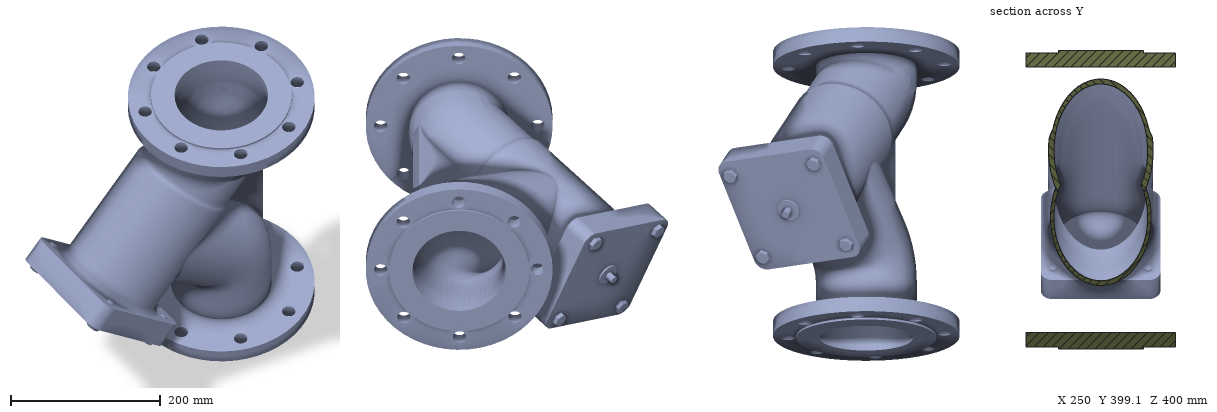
import cadquery as cq
import math

HEIGHT = 400.0

FLANGE_DIAMETER = 250.0
FLANGE_THICKNESS = 20.0
RAISED_FACE_DIAMETER = 188.0
RAISED_FACE_HEIGHT = 3.0
FLANGE_HOLE_COUNT = 8
FLANGE_HOLE_DIAMETER = 18.0
FLANGE_HOLE_CIRCLE = 210.0

PIPE_DIAMETER = 135.0
BORE_DIAMETER = 125.0
UPPER_NECK_LENGTH = 19.5
UPPER_BEND_RADIUS = 40.0
UPPER_BEND_ANGLE = 45.0
UPPER_TAIL_LENGTH = 20.0
LOWER_NECK_LENGTH = 54.5
LOWER_BEND_RADIUS = 70.5
LOWER_BEND_ANGLE = 47.6

BARREL_DIAMETER = 141.0
SHOULDER_START = 68.0
SHOULDER_LENGTH = 11.0
SEAT_FILLET = 9.0
SEAT_START = 250.0

SEAT_THICKNESS = 18.0
COVER_THICKNESS = 18.0
COVER_WIDTH = 160.0
COVER_LENGTH = 170.0
COVER_CORNER_RADIUS = 16.0
BOSS_DIAMETER = 30.0
BOSS_HEIGHT = 2.5
STEM_DIAMETER = 10.0
STEM_LENGTH = 14.0

BOLT_COUNT = 4
BOLT_CIRCLE = 180.0
BOLT_DIAMETER = 10.0
BOLT_TIP_LENGTH = 2.0
HEAD_SIDES = 6
HEAD_ACROSS_FLATS = 17.0
HEAD_HEIGHT = 6.5
HEAD_FACE_DIAMETER = 16.0
HEAD_CHAMFER_ANGLE = 30.0

WEB_THICKNESS = 20.0

PIPE_RADIUS = PIPE_DIAMETER / 2
BORE_RADIUS = BORE_DIAMETER / 2
BARREL_RADIUS = BARREL_DIAMETER / 2
WEB_BACK_Y = BORE_RADIUS
FLANGE_DEPTH = FLANGE_THICKNESS + RAISED_FACE_HEIGHT
UPPER_BEND_Z = HEIGHT / 2 - FLANGE_DEPTH - UPPER_NECK_LENGTH
LOWER_BEND_Z = -HEIGHT / 2 + FLANGE_DEPTH + LOWER_NECK_LENGTH
COVER_START = SEAT_START + SEAT_THICKNESS
COVER_END = COVER_START + COVER_THICKNESS
SHANK_START = SEAT_START - BOLT_TIP_LENGTH


def bend_end_plane(bend_radius, bend_z, angle, direction):
    """Plane across the far end of a bend that turns from the Z axis towards -Y.

    The normal points onwards along the pipe; direction is +1 for a pipe that
    enters the bend going up and -1 for one going down.
    """
    turn = math.radians(angle)
    origin = (
        0,
        -bend_radius * (1 - math.cos(turn)),
        bend_z + direction * bend_radius * math.sin(turn),
    )
    normal = (0, -math.sin(turn), direction * math.cos(turn))
    return cq.Plane(origin=origin, xDir=(1, 0, 0), normal=normal)


BRANCH_PLANE = bend_end_plane(UPPER_BEND_RADIUS, UPPER_BEND_Z, UPPER_BEND_ANGLE, -1)
INLET_PLANE = bend_end_plane(LOWER_BEND_RADIUS, LOWER_BEND_Z, LOWER_BEND_ANGLE, 1)


def inlet_length():
    """Length of the inlet from the lower bend to the axis of the branch."""
    gap = BRANCH_PLANE.origin - INLET_PLANE.origin
    across = INLET_PLANE.zDir.cross(BRANCH_PLANE.zDir).x
    return gap.cross(BRANCH_PLANE.zDir).x / across


INLET_LENGTH = inlet_length()
AXES_MEET = INLET_PLANE.origin + INLET_PLANE.zDir * INLET_LENGTH


def on_branch(distance):
    """Workplane across the branch axis, at a distance from the end of the upper bend."""
    return cq.Workplane(BRANCH_PLANE).workplane(offset=distance)


def branch_rod(radius, start, end):
    return on_branch(start).circle(radius).extrude(end - start)


def vertical_rod(radius, bottom, top):
    return cq.Workplane("XY", origin=(0, 0, bottom)).circle(radius).extrude(top - bottom)


def upper_bend(radius):
    """Solid bend tighter than its own radius, so its round section stops at the turning axis."""
    half_chord = math.sqrt(radius**2 - UPPER_BEND_RADIUS**2)
    flank_y = -UPPER_BEND_RADIUS / 2
    flank_x = math.sqrt(radius**2 - flank_y**2)
    return (
        cq.Workplane("XY", origin=(0, 0, UPPER_BEND_Z))
        .moveTo(-half_chord, -UPPER_BEND_RADIUS)
        .threePointArc((-flank_x, flank_y), (-radius, 0))
        .threePointArc((0, radius), (radius, 0))
        .threePointArc((flank_x, flank_y), (half_chord, -UPPER_BEND_RADIUS))
        .close()
        .revolve(UPPER_BEND_ANGLE, (0, -UPPER_BEND_RADIUS, 0), (-1, -UPPER_BEND_RADIUS, 0))
    )


def upper_run(radius):
    """Solid rod down the upper neck, round the upper bend and along its tail."""
    neck = vertical_rod(radius, UPPER_BEND_Z, HEIGHT / 2)
    return neck.union(upper_bend(radius)).union(branch_rod(radius, 0, UPPER_TAIL_LENGTH))


def lower_run(radius):
    """Solid rod up the lower neck, round the lower bend and on to the axis of the branch."""
    neck = vertical_rod(radius, -HEIGHT / 2, LOWER_BEND_Z)
    bend = (
        cq.Workplane("XY", origin=(0, 0, LOWER_BEND_Z))
        .circle(radius)
        .revolve(LOWER_BEND_ANGLE, (0, -LOWER_BEND_RADIUS, 0), (1, -LOWER_BEND_RADIUS, 0))
    )
    inlet = cq.Workplane(INLET_PLANE).circle(radius).extrude(INLET_LENGTH)
    return neck.union(bend).union(inlet)


def pipe_flange(direction):
    """Flange with a raised face at the top (+1) or bottom (-1) end of the pipe."""
    back = cq.Workplane("XY", origin=(0, 0, direction * (HEIGHT / 2 - FLANGE_DEPTH)))
    disc = back.circle(FLANGE_DIAMETER / 2).extrude(direction * FLANGE_THICKNESS)
    raised_face = back.circle(RAISED_FACE_DIAMETER / 2).extrude(direction * FLANGE_DEPTH)
    half_pitch = 180 / FLANGE_HOLE_COUNT
    holes = (
        back.polarArray(FLANGE_HOLE_CIRCLE / 2, half_pitch, 360, FLANGE_HOLE_COUNT)
        .circle(FLANGE_HOLE_DIAMETER / 2)
        .extrude(direction * FLANGE_DEPTH)
    )
    return disc.union(raised_face).cut(holes)


def square_plate(start, thickness):
    """Round-cornered plate across the branch axis."""
    return (
        on_branch(start)
        .rect(COVER_WIDTH, COVER_LENGTH)
        .extrude(thickness)
        .edges(cq.selectors.ParallelDirSelector(BRANCH_PLANE.zDir))
        .fillet(COVER_CORNER_RADIUS)
    )


def barrel_envelope():
    """Barrel without its bore: pipe, S-shaped shoulder, wider cylinder, flared foot, seat."""
    shoulder_middle = ((PIPE_RADIUS + BARREL_RADIUS) / 2, SHOULDER_START + SHOULDER_LENGTH / 2)
    flare_start = SEAT_START - SEAT_FILLET
    flare_middle = SEAT_FILLET * (1 - math.sqrt(0.5))
    profile_plane = cq.Plane(BRANCH_PLANE.origin, xDir=(1, 0, 0), normal=BRANCH_PLANE.yDir * -1)
    turned = (
        cq.Workplane(profile_plane)
        .moveTo(0, UPPER_TAIL_LENGTH)
        .lineTo(PIPE_RADIUS, UPPER_TAIL_LENGTH)
        .lineTo(PIPE_RADIUS, SHOULDER_START)
        .tangentArcPoint(shoulder_middle, relative=False)
        .tangentArcPoint((BARREL_RADIUS, SHOULDER_START + SHOULDER_LENGTH), relative=False)
        .lineTo(BARREL_RADIUS, flare_start)
        .threePointArc(
            (BARREL_RADIUS + flare_middle, SEAT_START - flare_middle),
            (BARREL_RADIUS + SEAT_FILLET, SEAT_START),
        )
        .lineTo(0, SEAT_START)
        .close()
        .revolve(360, (0, 0, 0), (0, 1, 0))
    )
    return turned.union(square_plate(SEAT_START, SEAT_THICKNESS))


def bolt():
    """Chamfered hexagon bolt at the -X upper corner of the cover, ending behind the seat."""
    across_corners = HEAD_ACROSS_FLATS / math.cos(math.pi / HEAD_SIDES)
    corner_inset = (across_corners - HEAD_FACE_DIAMETER) / 2
    corner_drop = corner_inset * math.tan(math.radians(HEAD_CHAMFER_ANGLE))
    hexagon = on_branch(COVER_END).polygon(HEAD_SIDES, across_corners).extrude(HEAD_HEIGHT)
    chamfered_disc = (
        branch_rod(across_corners / 2, COVER_END, COVER_END + HEAD_HEIGHT)
        .faces(cq.selectors.DirectionMinMaxSelector(BRANCH_PLANE.zDir))
        .chamfer(corner_drop, corner_inset)
    )
    shank = branch_rod(BOLT_DIAMETER / 2, SHANK_START, COVER_END)
    offset = BOLT_CIRCLE / 2 * math.sqrt(0.5)
    place = BRANCH_PLANE.yDir * offset - BRANCH_PLANE.xDir * offset
    return hexagon.intersect(chamfered_disc).union(shank).translate(place)


def around_branch(shape):
    """Copies of a shape turned about the branch axis, one for each bolt place."""
    start = BRANCH_PLANE.origin
    end = start + BRANCH_PLANE.zDir
    pitch = 360 / BOLT_COUNT
    return [shape.rotate(start, end, index * pitch) for index in range(BOLT_COUNT)]


def make_upper_elbow():
    """Top flange, neck, bend and short tail that carries the barrel."""
    return (
        upper_run(PIPE_RADIUS)
        .union(pipe_flange(1))
        .cut(upper_run(BORE_RADIUS))
    )


def make_barrel(bolts):
    """Branch barrel with a window for the inlet and holes for the bolts in its seat."""
    barrel = (
        barrel_envelope()
        .cut(branch_rod(BORE_RADIUS, UPPER_TAIL_LENGTH, COVER_START))
        .cut(lower_run(BORE_RADIUS))
    )
    for one_bolt in bolts:
        barrel = barrel.cut(one_bolt)
    return barrel


def make_lower_elbow():
    """Bottom flange, neck, bend and inlet, its end shaped to the outside of the barrel."""
    return (
        lower_run(PIPE_RADIUS)
        .union(pipe_flange(-1))
        .cut(lower_run(BORE_RADIUS))
        .cut(barrel_envelope())
    )


def make_web():
    """Flat web that fills the angle between the two bends."""
    return (
        cq.Workplane("YZ")
        .moveTo(WEB_BACK_Y, LOWER_BEND_Z)
        .lineTo(WEB_BACK_Y, UPPER_BEND_Z)
        .lineTo(0, UPPER_BEND_Z)
        .lineTo(AXES_MEET.y, AXES_MEET.z)
        .lineTo(0, LOWER_BEND_Z)
        .close()
        .extrude(WEB_THICKNESS / 2, both=True)
        .cut(upper_run(PIPE_RADIUS))
        .cut(barrel_envelope())
        .cut(lower_run(PIPE_RADIUS))
    )


def make_cover(bolts):
    """Cover plate in one piece with its boss, stem and bolts."""
    cover = (
        square_plate(COVER_START, COVER_THICKNESS)
        .union(branch_rod(BOSS_DIAMETER / 2, COVER_END, COVER_END + BOSS_HEIGHT))
        .union(branch_rod(STEM_DIAMETER / 2, COVER_END, COVER_END + STEM_LENGTH))
    )
    for one_bolt in bolts:
        cover = cover.union(one_bolt)
    return cover


cover_bolts = around_branch(bolt())
upper_elbow = make_upper_elbow()
barrel = make_barrel(cover_bolts)
lower_elbow = make_lower_elbow()
web = make_web()
cover = make_cover(cover_bolts)

result = cq.Compound.makeCompound(
    [upper_elbow.val(), barrel.val(), lower_elbow.val(), web.val(), cover.val()]
)